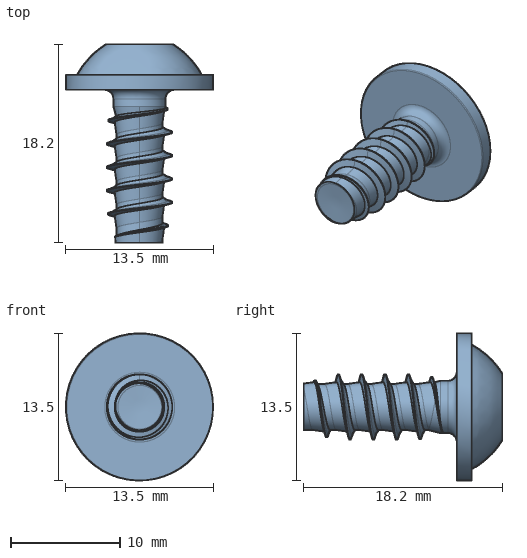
import cadquery as cq
import math


flange_radius = 6.75
flange_thickness = 1.4
flange_edge_round = 0.08
head_height = 4.2
dome_base_radius = 5.7
dome_top_radius = 3.05
dome_bulge = 0.25

shank_length = 14.0
neck_radius = 2.4
neck_fillet = 0.8
neck_length = 1.5
core_radius = 2.12
neck_taper_length = 1.35
neck_taper_end_radius = 2.05
tip_recess_radius = 2.0
tip_recess_depth = 0.12

pitch = 2.14
crest_radius = 3.0
crest_width = 0.06
knee_radius = 2.55
knee_offset = 0.17
root_offset = 0.45
shoulder_radius = 2.28
shoulder_offset = 0.19
core_slope_end = 1.27

crest_distance = 1.73
first_turn = -0.75
fade_in_turn = -0.61
fade_out_turn = 5.64
thread_turns = 7
fade_turns = 1.67
smallest_fade = 0.03
points_per_turn = 16


def make_head():
    """Flange with lightly rounded rims and a flat-topped dome."""
    flange_middle = -flange_thickness / 2
    flange = cq.Workplane("XY").circle(flange_radius).extrude(-flange_thickness)
    flange = flange.edges().fillet(flange_edge_round)

    rise = head_height - flange_thickness
    inset = dome_base_radius - dome_top_radius
    chord = math.hypot(rise, inset)
    arc_middle = (
        (dome_base_radius + dome_top_radius) / 2 + dome_bulge * rise / chord,
        -(flange_thickness + head_height) / 2 - dome_bulge * inset / chord,
    )
    dome = (
        cq.Workplane("YZ")
        .moveTo(0, flange_middle)
        .lineTo(dome_base_radius, flange_middle)
        .lineTo(dome_base_radius, -flange_thickness)
        .threePointArc(arc_middle, (dome_top_radius, -head_height))
        .lineTo(0, -head_height)
        .close()
        .revolve(360, (0, 0), (0, 1))
    )
    return flange.union(dome)


def make_neck():
    """Filleted neck whose taper runs out inside the threaded body."""
    fillet_outer_radius = neck_radius + neck_fillet
    fillet_middle = neck_fillet * (1 - math.sqrt(0.5))
    flange_middle = -flange_thickness / 2
    neck_end = neck_length + neck_taper_length
    return (
        cq.Workplane("YZ")
        .moveTo(0, flange_middle)
        .lineTo(fillet_outer_radius, flange_middle)
        .lineTo(fillet_outer_radius, 0)
        .threePointArc((neck_radius + fillet_middle, fillet_middle), (neck_radius, neck_fillet))
        .lineTo(neck_radius, neck_length)
        .lineTo(neck_taper_end_radius, neck_end)
        .lineTo(0, neck_end)
        .close()
        .revolve(360, (0, 0), (0, 1))
    )


def thread_fade(turn):
    """Share of the full thread height that is present at this turn."""
    turns_from_end = min(turn - fade_in_turn, fade_out_turn - turn, fade_turns)
    return max(smallest_fade, math.sin(math.pi / 2 * turns_from_end / fade_turns))


def root_point(turn):
    """Head-side root of the ridge as (radius, height along the shank)."""
    return core_radius, crest_distance + pitch * turn - thread_fade(turn) * root_offset


def thread_section(turn):
    """One pitch of the shank outline as (radius, height), from root to next root."""
    fade = thread_fade(turn)
    crest_z = crest_distance + pitch * turn
    half_width = crest_width / 2
    knee = core_radius + fade * (knee_radius - core_radius)
    crest = core_radius + fade * (crest_radius - core_radius)
    return [
        root_point(turn),
        (knee, crest_z - fade * knee_offset),
        (crest, crest_z - half_width),
        (crest, crest_z + half_width),
        (min(shoulder_radius, crest), crest_z + half_width + fade * (shoulder_offset - half_width)),
        (core_radius, crest_z + core_slope_end),
        root_point(turn + 1),
    ]


def placed_section(turn):
    """Shank outline of one pitch, placed at its angle around the axis."""
    angle = 2 * math.pi * turn
    return [
        cq.Vector(radius * math.cos(angle), radius * math.sin(angle), height)
        for radius, height in thread_section(turn)
    ]


def one_turn_spirals(start_turn):
    """Edges that the corners of the outline trace over one turn."""
    turns = [start_turn + i / points_per_turn for i in range(points_per_turn + 1)]
    sections = [placed_section(turn) for turn in turns]
    return [cq.Edge.makeSpline(list(path)) for path in zip(*sections)]


def end_faces(spiral, section):
    """Ramp from a spiral edge to the axis, and the flat step that closes it."""
    axis_start = cq.Vector(0, 0, section[0].z)
    axis_end = cq.Vector(0, 0, section[-1].z)
    ramp = cq.Face.makeRuledSurface(spiral, cq.Edge.makeLine(axis_start, axis_end))
    step_outline = cq.Wire.makePolygon(section + [axis_end, axis_start], close=True)
    return [ramp, cq.Face.makeFromWires(step_outline)]


def make_threaded_body():
    """Core and ridge in one spiral solid, trimmed between bearing face and tip."""
    faces = []
    turn_spirals = [one_turn_spirals(first_turn + i) for i in range(thread_turns)]
    for spirals in turn_spirals:
        for lower, upper in zip(spirals, spirals[1:]):
            faces.append(cq.Face.makeRuledSurface(lower, upper))
    faces += end_faces(turn_spirals[0][0], placed_section(first_turn))
    faces += end_faces(turn_spirals[-1][-1], placed_section(first_turn + thread_turns))
    body = cq.Workplane(cq.Solid.makeSolid(cq.Shell.makeShell(faces)))
    shank_envelope = cq.Workplane("XY").circle(flange_radius).extrude(shank_length)
    return body.intersect(shank_envelope)


def make_tip_recess():
    """Shallow cone sunk into the tip."""
    return cq.Workplane(
        cq.Solid.makeCone(
            0,
            tip_recess_radius,
            tip_recess_depth,
            pnt=cq.Vector(0, 0, shank_length - tip_recess_depth),
        )
    )


screw = make_head().union(make_neck()).union(make_threaded_body()).cut(make_tip_recess())
result = screw.rotate((0, 0, 0), (1, 0, 0), 90)